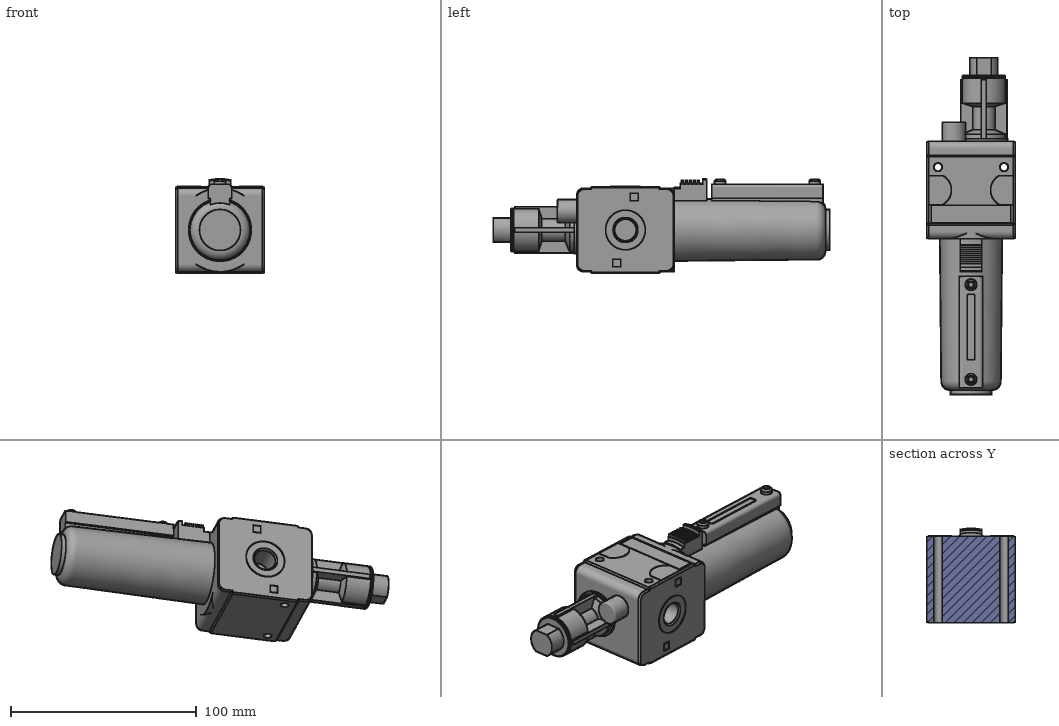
import cadquery as cq
import math


TOTAL_LENGTH = 181.3
TOTAL_HEIGHT = 51.0

BLOCK_WIDTH = 47.9
BLOCK_HALF_LENGTH = 26.3
PLATEAU_HALF_LENGTH = 18.0
PLATEAU_FOOT_HALF_LENGTH = 18.9
PLATEAU_HEIGHT = 23.4
SHOULDER_HEIGHT = 22.5
BLOCK_CORNER_RADIUS = 4.0
BEVEL_DEPTH = 1.3
BEVEL_INSET = 0.5
BOSS_RADIUS = SHOULDER_HEIGHT

MOUNT_HOLE_RADIUS = 2.2
MOUNT_HOLE_X = 17.8
MOUNT_HOLE_Y = 12.3
PAD_HALF_LENGTH = 7.8
PAD_TIP_X = 10.5
PAD_STRAIGHT_X = 15.2
PAD_HEIGHT = 0.2
STRIP_WIDTH = 42.8
STRIP_LENGTH = 9.5
STRIP_CENTER_Y = -12.9
STRIP_DEPTH = 0.2
PORT_RADIUS = 5.8
PORT_MOUTH_RADIUS = 6.7
PORT_DEPTH = 16.3
PORT_RING_RADIUS = 10.7
SIDE_RECESS_DEPTH = 0.4
MARK_SIZE = 4.2
MARK_Y = 4.7
MARK_Z = 17.8

DOME_X = 6.9
DOME_FLANGE_RADIUS = 12.9
DOME_FLANGE_END = 27.5
DOME_RADIUS = 11.6
DOME_NECK_RADIUS = 6.2
DOME_BASE_END = 30.1
DOME_BASE_CONE_END = 32.5
DOME_CAP_CONE_START = 45.0
DOME_CAP_START = 46.8
DOME_CAP_END = 61.8
DOME_CAP_CHAMFER = 0.5
DOME_GROOVE_START = 60.2
DOME_GROOVE_WIDTH = 0.5
DOME_GROOVE_DEPTH = 0.4
RIB_REACH = 12.5
RIB_THICKNESS = 2.5
RIB_END = 59.5
KNOB_RADIUS = 7.6
KNOB_FLAT_HEIGHT = 6.5
KNOB_END = 71.3

PLUG_X = -9.2
PLUG_Z = 10.2
PLUG_RADIUS = 6.3
PLUG_END = 36.6
PLUG_FILLET = 0.9

BOWL_TOP_RADIUS = 16.9
BOWL_END_RADIUS = 16.1
BOWL_FILLET = 4.9
BOWL_END = 107.7
BOWL_TIP_END = TOTAL_LENGTH - KNOB_END
BOWL_TIP_RADIUS = 11.0

LATCH_WIDTH = 11.8
LATCH_END = 43.9
LATCH_SHELF_END = 29.4
LATCH_SHELF_RADIUS = 23.0
LATCH_GRIP_RADIUS = 25.2
LATCH_LIP_RADIUS = TOTAL_HEIGHT - PLATEAU_HEIGHT
LATCH_LIP_LENGTH = 2.4
LATCH_LIP_CHAMFER = 0.5
TOOTH_COUNT = 5
TOOTH_START = 30.0
TOOTH_PITCH = 2.2
TOOTH_LENGTH = 1.0
TOOTH_RADIUS = 26.7

RAIL_START = 46.5
RAIL_END = 106.5
RAIL_WIDTH = 12.7
RAIL_BOTTOM = 17.0
RAIL_TOP = 24.7
RAIL_EDGE_RADIUS = 1.8
RAIL_FOOT_WIDTH = 10.3
RAIL_FOOT_BOTTOM = 12.7
WINDOW_WIDTH = 4.0
WINDOW_LENGTH = 35.4
WINDOW_CENTER_Y = -73.8
WINDOW_DEPTH = 0.4
WINDOW_CORNER_RADIUS = 0.7
SCREW_POSITIONS_Y = (-51.0, -101.9)
SCREW_HEAD_RADIUS = 3.0
SCREW_HEAD_TOP = 27.4
SCREW_SOCKET_RADIUS = 1.6
SCREW_SOCKET_DEPTH = 1.5
SCREW_HEAD_CHAMFER = 1.0


def box(x_size, y_from, y_to, z_from, z_to):
    """Box centred on X = 0, between the given Y and Z limits."""
    block = cq.Workplane("XY").box(x_size, y_to - y_from, z_to - z_from, centered=(True, False, False))
    return block.translate((0, y_from, z_from))


def rod(radius, y_from, y_to, x=0.0, z=0.0):
    """Cylinder along Y."""
    start = cq.Vector(x, y_from, z)
    along_y = cq.Vector(0, 1, 0)
    return cq.Workplane(cq.Solid.makeCylinder(radius, y_to - y_from, start, along_y))


def mirrored_pair(shape):
    """The shape together with its mirror image across the YZ plane."""
    return shape.union(shape.mirror("YZ"))




def block_half():
    """+X half of the block: a straight core and a tapered end that bevels the side outline."""
    core_half_width = BLOCK_WIDTH / 2 - BEVEL_DEPTH
    taper = math.degrees(math.atan(BEVEL_INSET / BEVEL_DEPTH))

    def slab(sketch):
        core = cq.Workplane("YZ").placeSketch(sketch).extrude(core_half_width)
        outline = cq.Workplane("YZ", origin=(core_half_width, 0, 0)).placeSketch(sketch)
        return core.union(outline.extrude(BEVEL_DEPTH, taper=taper))

    shoulders = cq.Sketch().rect(2 * BLOCK_HALF_LENGTH, 2 * SHOULDER_HEIGHT)
    shoulders = shoulders.vertices().fillet(BLOCK_CORNER_RADIUS)
    plateaus = cq.Sketch().polygon([
        (-PLATEAU_FOOT_HALF_LENGTH, -SHOULDER_HEIGHT),
        (-PLATEAU_HALF_LENGTH, -PLATEAU_HEIGHT),
        (PLATEAU_HALF_LENGTH, -PLATEAU_HEIGHT),
        (PLATEAU_FOOT_HALF_LENGTH, -SHOULDER_HEIGHT),
        (PLATEAU_FOOT_HALF_LENGTH, SHOULDER_HEIGHT),
        (PLATEAU_HALF_LENGTH, PLATEAU_HEIGHT),
        (-PLATEAU_HALF_LENGTH, PLATEAU_HEIGHT),
        (-PLATEAU_FOOT_HALF_LENGTH, SHOULDER_HEIGHT),
        (-PLATEAU_FOOT_HALF_LENGTH, -SHOULDER_HEIGHT),
    ])
    return slab(shoulders).union(slab(plateaus))


def top_pad():
    """Raised pad with a round inner end on the +X side of the top."""
    outer_x = BLOCK_WIDTH / 2 - BEVEL_DEPTH
    return (
        cq.Workplane("XY", origin=(0, 0, PLATEAU_HEIGHT))
        .moveTo(outer_x, -PAD_HALF_LENGTH)
        .lineTo(PAD_STRAIGHT_X, -PAD_HALF_LENGTH)
        .threePointArc((PAD_TIP_X, 0), (PAD_STRAIGHT_X, PAD_HALF_LENGTH))
        .lineTo(outer_x, PAD_HALF_LENGTH)
        .close()
        .extrude(PAD_HEIGHT)
    )


def side_port():
    """Blind port with a chamfered mouth and a shallow ring recess, cut from the -X side."""
    side_x = -BLOCK_WIDTH / 2
    ring_floor_x = side_x + SIDE_RECESS_DEPTH
    mouth_end_x = ring_floor_x + PORT_MOUTH_RADIUS - PORT_RADIUS
    return (
        cq.Workplane("XY")
        .polyline([
            (side_x, 0),
            (side_x, PORT_RING_RADIUS),
            (ring_floor_x, PORT_RING_RADIUS),
            (ring_floor_x, PORT_MOUTH_RADIUS),
            (mouth_end_x, PORT_RADIUS),
            (side_x + PORT_DEPTH, PORT_RADIUS),
            (side_x + PORT_DEPTH, 0),
        ])
        .close()
        .revolve(360, (0, 0, 0), (1, 0, 0))
    )


def side_marks():
    """Two shallow square recesses on the -X side."""
    return (
        cq.Workplane("YZ", origin=(-BLOCK_WIDTH / 2, 0, 0))
        .pushPoints([(-MARK_Y, MARK_Z), (MARK_Y, -MARK_Z)])
        .rect(MARK_SIZE, MARK_SIZE)
        .extrude(SIDE_RECESS_DEPTH)
    )


def sight_dome():
    """Waisted dome with a base flange, four ribs, a ring groove and a knob with two flats."""
    groove_radius = DOME_RADIUS - DOME_GROOVE_DEPTH
    groove_end = DOME_GROOVE_START + DOME_GROOVE_WIDTH
    profile = [
        (0, BLOCK_HALF_LENGTH),
        (DOME_FLANGE_RADIUS, BLOCK_HALF_LENGTH),
        (DOME_FLANGE_RADIUS, DOME_FLANGE_END),
        (DOME_RADIUS, DOME_FLANGE_END),
        (DOME_RADIUS, DOME_BASE_END),
        (DOME_NECK_RADIUS, DOME_BASE_CONE_END),
        (DOME_NECK_RADIUS, DOME_CAP_CONE_START),
        (DOME_RADIUS, DOME_CAP_START),
        (DOME_RADIUS, DOME_GROOVE_START),
        (groove_radius, DOME_GROOVE_START),
        (groove_radius, groove_end),
        (DOME_RADIUS, groove_end),
        (DOME_RADIUS, DOME_CAP_END - DOME_CAP_CHAMFER),
        (DOME_RADIUS - DOME_CAP_CHAMFER, DOME_CAP_END),
        (0, DOME_CAP_END),
    ]
    dome = cq.Workplane("XY").polyline(profile).close().revolve(360, (0, 0, 0), (0, 1, 0))
    half_rib = RIB_THICKNESS / 2
    dome = dome.union(box(2 * RIB_REACH, DOME_FLANGE_END, RIB_END, -half_rib, half_rib))
    dome = dome.union(box(RIB_THICKNESS, DOME_FLANGE_END, RIB_END, -RIB_REACH, RIB_REACH))
    knob_limits = box(2 * KNOB_RADIUS, DOME_CAP_END, KNOB_END, -KNOB_FLAT_HEIGHT, KNOB_FLAT_HEIGHT)
    dome = dome.union(rod(KNOB_RADIUS, DOME_CAP_END, KNOB_END).intersect(knob_limits))
    return dome.translate((DOME_X, 0, 0))


def oil_plug():
    """Round plug with a filleted rim."""
    plug = rod(PLUG_RADIUS, BLOCK_HALF_LENGTH, PLUG_END, PLUG_X, PLUG_Z)
    return plug.faces(">Y").edges().fillet(PLUG_FILLET)


def make_head():
    """Head block with its boss, pads, recesses, holes, ports, dome and plug."""
    head = mirrored_pair(block_half())
    head = head.union(rod(BOSS_RADIUS, -BLOCK_HALF_LENGTH, 0))
    head = head.union(mirrored_pair(top_pad()))

    strip_from = STRIP_CENTER_Y - STRIP_LENGTH / 2
    strip_to = STRIP_CENTER_Y + STRIP_LENGTH / 2
    head = head.cut(box(STRIP_WIDTH, strip_from, strip_to, PLATEAU_HEIGHT - STRIP_DEPTH, PLATEAU_HEIGHT))

    mount_holes = (
        cq.Workplane("XY", origin=(0, 0, -PLATEAU_HEIGHT))
        .pushPoints([(-MOUNT_HOLE_X, MOUNT_HOLE_Y), (MOUNT_HOLE_X, MOUNT_HOLE_Y)])
        .circle(MOUNT_HOLE_RADIUS)
        .extrude(2 * PLATEAU_HEIGHT)
    )
    head = head.cut(mount_holes)
    head = head.cut(mirrored_pair(side_port()))
    head = head.cut(mirrored_pair(side_marks()))
    return head.union(sight_dome()).union(oil_plug())




def bowl_shell():
    """Slightly tapered round bowl with a rounded end and a flat tip."""
    fillet_start = -BOWL_END + BOWL_FILLET
    fillet_center_radius = BOWL_END_RADIUS - BOWL_FILLET
    fillet_reach = BOWL_FILLET / math.sqrt(2)
    shell = (
        cq.Workplane("XY")
        .moveTo(0, -BLOCK_HALF_LENGTH)
        .lineTo(BOWL_TOP_RADIUS, -BLOCK_HALF_LENGTH)
        .lineTo(BOWL_END_RADIUS, fillet_start)
        .threePointArc(
            (fillet_center_radius + fillet_reach, fillet_start - fillet_reach),
            (fillet_center_radius, -BOWL_END),
        )
        .lineTo(0, -BOWL_END)
        .close()
        .revolve(360, (0, 0, 0), (0, 1, 0))
    )
    return shell.union(rod(BOWL_TIP_RADIUS, -BOWL_TIP_END, -BOWL_END + BOWL_FILLET))


def latch():
    """Release latch whose tops are round about the bowl axis: a shelf, a grip with teeth and an end lip."""
    lip_start = LATCH_END - LATCH_LIP_LENGTH
    body = rod(LATCH_SHELF_RADIUS, -LATCH_END, -BLOCK_HALF_LENGTH)
    body = body.union(rod(LATCH_GRIP_RADIUS, -LATCH_END, -LATCH_SHELF_END))
    lip = rod(LATCH_LIP_RADIUS, -LATCH_END, -lip_start)
    body = body.union(lip.faces("<Y").edges().chamfer(LATCH_LIP_CHAMFER))
    for tooth in range(TOOTH_COUNT):
        tooth_start = TOOTH_START + tooth * TOOTH_PITCH
        body = body.union(rod(TOOTH_RADIUS, -tooth_start - TOOTH_LENGTH, -tooth_start))
    return body.intersect(box(LATCH_WIDTH, -LATCH_END, -BLOCK_HALF_LENGTH, 0, LATCH_LIP_RADIUS))


def screw_head(y):
    """Button head with a hexagon socket on top of the rail."""
    height = SCREW_HEAD_TOP - RAIL_TOP
    return (
        cq.Workplane("XY", origin=(0, y, RAIL_TOP))
        .circle(SCREW_HEAD_RADIUS)
        .extrude(height)
        .faces(">Z")
        .chamfer(SCREW_HEAD_CHAMFER)
        .faces(">Z")
        .workplane()
        .polygon(6, 2 * SCREW_SOCKET_RADIUS)
        .cutBlind(-SCREW_SOCKET_DEPTH)
    )


def sight_rail():
    """Rail on a narrower foot, with a shallow window recess and two screw heads."""
    rail = box(RAIL_WIDTH, -RAIL_END, -RAIL_START, RAIL_BOTTOM, RAIL_TOP)
    rail = rail.edges("|Y and >Z").fillet(RAIL_EDGE_RADIUS)
    window = (
        cq.Workplane("XY", origin=(0, WINDOW_CENTER_Y, RAIL_TOP - WINDOW_DEPTH))
        .rect(WINDOW_WIDTH, WINDOW_LENGTH)
        .extrude(WINDOW_DEPTH)
        .edges("|Z")
        .fillet(WINDOW_CORNER_RADIUS)
    )
    rail = rail.cut(window)
    rail = rail.union(box(RAIL_FOOT_WIDTH, -RAIL_END, -RAIL_START, RAIL_FOOT_BOTTOM, RAIL_BOTTOM))
    for y in SCREW_POSITIONS_Y:
        rail = rail.union(screw_head(y))
    return rail


def make_bowl():
    """Bowl with its latch and sight rail; it butts against the front boss of the head."""
    return bowl_shell().union(latch()).union(sight_rail())


head = make_head()
bowl = make_bowl()

result = cq.Compound.makeCompound([head.val(), bowl.val()])